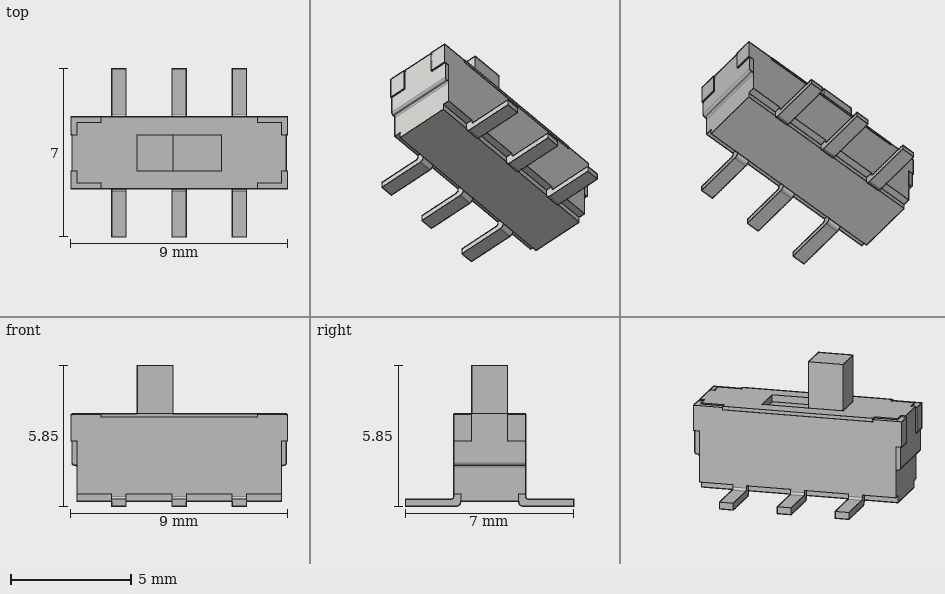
import cadquery as cq

foot_z = 0.2
ledge_z = 0.5
skirt_bottom_z = 1.7
post_bottom_z = 2.7
wall_top_z = 3.7
post_top_z = 3.8
cover_top_z = 3.85
stem_top_z = 5.85

body_length = 8.5
body_width = 3.0
foot_width = 2.4

post_span_x = 9.0
post_thickness = 0.25
post_leg_x = 1.25
post_leg_y = 0.75

cover_length = 8.9
cover_width = 2.98
skirt_bend_radius = 0.1
skirt_root_radius = 0.06

slot_length = 3.5
slot_depth = 0.3
stem_size = 1.5

lead_pitch = 2.5
lead_positions = (-lead_pitch, 0, lead_pitch)
lead_width = 0.6
lead_thickness = 0.3
lead_span = 7.0
lead_inner_radius = 0.1
lead_outer_radius = 0.18


def block(length, width, bottom, top):
    """Box centred on the Z axis between two levels."""
    return cq.Workplane("XY", origin=(0, 0, bottom)).box(
        length, width, top - bottom, centered=(True, True, False)
    )


def in_four_corners(shape):
    """Shape in the +X +Y corner, mirrored into the other three corners."""
    pair = shape.union(shape.mirror("YZ"))
    return pair.union(pair.mirror("XZ"))


def corner_posts(bottom, top):
    outer_x = post_span_x / 2
    outer_y = body_width / 2
    inner_x = outer_x - post_thickness
    inner_y = outer_y - post_thickness
    post = (
        cq.Workplane("XY", origin=(0, 0, bottom))
        .moveTo(outer_x, outer_y)
        .lineTo(outer_x - post_leg_x, outer_y)
        .lineTo(outer_x - post_leg_x, inner_y)
        .lineTo(inner_x, inner_y)
        .lineTo(inner_x, outer_y - post_leg_y)
        .lineTo(outer_x, outer_y - post_leg_y)
        .close()
        .extrude(top - bottom)
    )
    return in_four_corners(post)


def body():
    walls = block(body_length, body_width, ledge_z, wall_top_z)
    foot = block(body_length, foot_width, foot_z, ledge_z)
    return walls.union(foot)


def cover():
    """Cover block with bent skirt ends, notched around the corner posts."""
    shell = block(cover_length, cover_width, skirt_bottom_z, cover_top_z)
    shell = shell.edges("|Y and <Z").fillet(skirt_bend_radius)
    return shell.cut(corner_posts(post_bottom_z, cover_top_z))


def skirt_root():
    """Concave blend between the underside of the +X skirt and the body end."""
    root_x = body_length / 2
    return (
        cq.Workplane("XZ")
        .moveTo(root_x, skirt_bottom_z)
        .lineTo(root_x + skirt_root_radius, skirt_bottom_z)
        .radiusArc((root_x, skirt_bottom_z - skirt_root_radius), -skirt_root_radius)
        .close()
        .extrude(body_width / 2, both=True)
    )


def slot():
    return block(slot_length, stem_size, cover_top_z - slot_depth, cover_top_z)


def stem():
    """Slider stem parked at the -X end of the slot."""
    stem_x = (stem_size - slot_length) / 2
    return block(stem_size, stem_size, cover_top_z - slot_depth, stem_top_z).translate((stem_x, 0, 0))


def lead(x):
    """Bent lead on the +Y side, centred at x."""
    back_y = foot_width / 2
    front_y = back_y + lead_thickness
    tip_y = lead_span / 2
    return (
        cq.Workplane("YZ", origin=(x, 0, 0))
        .moveTo(back_y, ledge_z)
        .lineTo(back_y, lead_outer_radius)
        .radiusArc((back_y + lead_outer_radius, 0), -lead_outer_radius)
        .lineTo(tip_y, 0)
        .lineTo(tip_y, lead_thickness)
        .lineTo(front_y + lead_inner_radius, lead_thickness)
        .radiusArc((front_y, lead_thickness + lead_inner_radius), lead_inner_radius)
        .lineTo(front_y, ledge_z)
        .close()
        .extrude(lead_width / 2, both=True)
    )


result = body().union(cover()).union(corner_posts(post_bottom_z, post_top_z))
root = skirt_root()
result = result.union(root).union(root.mirror("YZ"))
result = result.cut(slot()).union(stem())
for lead_x in lead_positions:
    one_lead = lead(lead_x)
    result = result.union(one_lead).union(one_lead.mirror("XZ"))